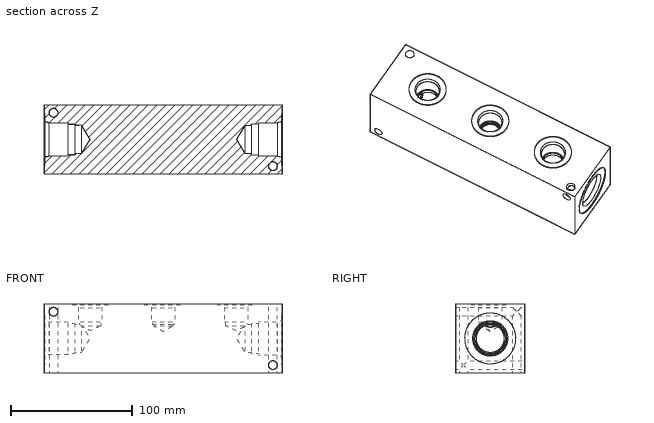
import cadquery as cq
import math

LENGTH = 196.8
WIDTH = 57.0
HEIGHT = 57.0

MOUNT_DIAMETER = 7.0
MOUNT_END_INSET = 7.9
MOUNT_EDGE_INSET = 6.5

SPOTFACE_DEPTH = 0.8
DRILL_POINT_ANGLE = 118.0
TAP_POINT_ANGLE = 132.0

TOP_PORT_PITCH = 60.2
TOP_SPOTFACE_DIAMETER = 30.7
TOP_MOUTH_DIAMETER = 20.9
TOP_SEAT_DIAMETER = 19.3
TOP_SEAT_DEPTH = 3.3
TOP_THREAD = (19.0, 15.2)
TOP_TAP_DIAMETER = 17.5
TOP_BORE_DEPTH = 18.1
OUTER_TOP_BORE = [TOP_THREAD, (TOP_TAP_DIAMETER, TOP_BORE_DEPTH)]
MIDDLE_TOP_BORE = [TOP_THREAD, (TOP_TAP_DIAMETER, 17.0), (16.0, TOP_BORE_DEPTH)]

END_SPOTFACE_DIAMETER = 42.1
END_MOUTH_DIAMETER = 29.1
END_SEAT_DIAMETER = 27.4
END_SEAT_DEPTH = 4.1
END_BORE = [(27.0, 19.7), (25.0, 25.5), (23.0, 31.0)]


def port_cutter(spotface_diameter, mouth_diameter, seat_diameter, seat_depth, bore, point_angle):
    """Spotfaced port with a tapered seal seat, entering at Z = 0 and running down -Z."""
    outline = [
        (0, 0),
        (spotface_diameter / 2, 0),
        (spotface_diameter / 2, -SPOTFACE_DEPTH),
        (mouth_diameter / 2, -SPOTFACE_DEPTH),
        (seat_diameter / 2, -seat_depth),
    ]
    stage_top = seat_depth
    for diameter, depth in bore:
        outline.append((diameter / 2, -stage_top))
        outline.append((diameter / 2, -depth))
        stage_top = depth

    drill_diameter, drill_depth = bore[-1]
    point_height = drill_diameter / 2 / math.tan(math.radians(point_angle / 2))
    outline.append((0, -drill_depth - point_height))
    return cq.Workplane("XZ").polyline(outline).close().revolve(360, (0, 0, 0), (0, 1, 0))


def top_port_cutter(bore, point_angle, center_x):
    """Port in the top face, on the centreline of the block."""
    cutter = port_cutter(
        TOP_SPOTFACE_DIAMETER,
        TOP_MOUTH_DIAMETER,
        TOP_SEAT_DIAMETER,
        TOP_SEAT_DEPTH,
        bore,
        point_angle,
    )
    return cutter.translate((center_x, WIDTH / 2, HEIGHT))


def end_port_cutter(end_x, turn):
    """Port in the middle of an end face; turn swings its axis about Y into the block."""
    cutter = port_cutter(
        END_SPOTFACE_DIAMETER,
        END_MOUTH_DIAMETER,
        END_SEAT_DIAMETER,
        END_SEAT_DEPTH,
        END_BORE,
        DRILL_POINT_ANGLE,
    )
    return cutter.rotate((0, 0, 0), (0, 1, 0), turn).translate((end_x, WIDTH / 2, HEIGHT / 2))


def mounting_holes(plane, face_width, bore_length):
    """Two holes near opposite corners of a long face, bored through the block."""
    centers = [
        (MOUNT_END_INSET, face_width - MOUNT_EDGE_INSET),
        (LENGTH - MOUNT_END_INSET, MOUNT_EDGE_INSET),
    ]
    return cq.Workplane(plane).pushPoints(centers).circle(MOUNT_DIAMETER / 2).extrude(bore_length)


block = cq.Workplane("XY").box(LENGTH, WIDTH, HEIGHT, centered=False)

block = block.cut(top_port_cutter(OUTER_TOP_BORE, TAP_POINT_ANGLE, LENGTH / 2 - TOP_PORT_PITCH))
block = block.cut(top_port_cutter(MIDDLE_TOP_BORE, DRILL_POINT_ANGLE, LENGTH / 2))
block = block.cut(top_port_cutter(OUTER_TOP_BORE, TAP_POINT_ANGLE, LENGTH / 2 + TOP_PORT_PITCH))

block = block.cut(end_port_cutter(0, -90))
block = block.cut(end_port_cutter(LENGTH, 90))

block = block.cut(mounting_holes("XY", WIDTH, HEIGHT))
block = block.cut(mounting_holes("XZ", HEIGHT, -WIDTH))

result = block